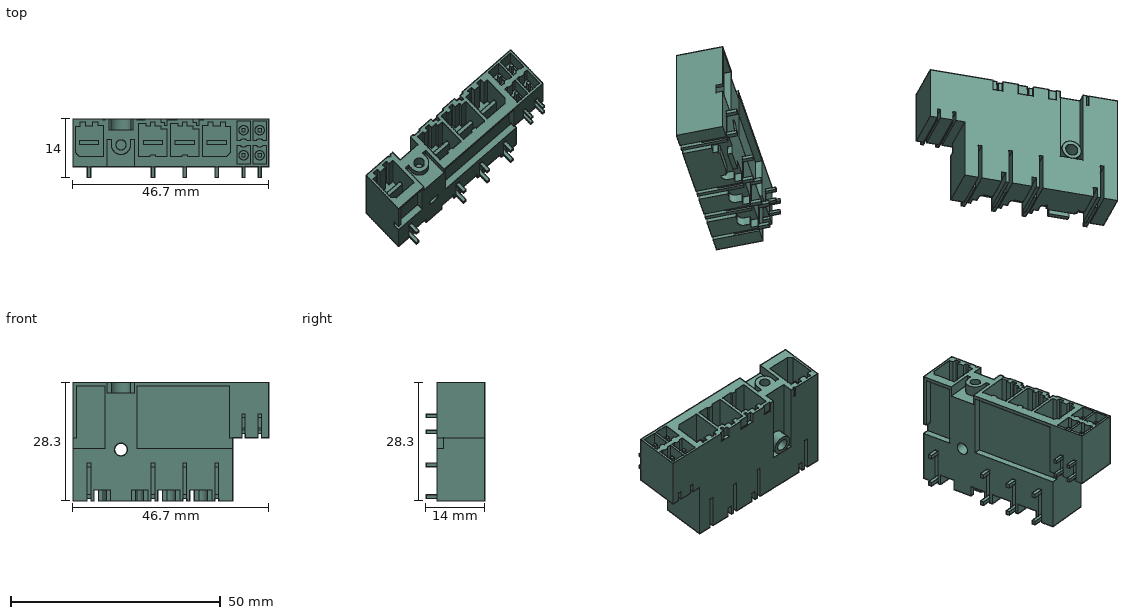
import cadquery as cq
import math


LENGTH = 46.7
DEPTH = 11.45
HEIGHT = 28.3
POWER_LENGTH = 38.1
SIGNAL_HEIGHT = 13.2
SIGNAL_BASE = HEIGHT - SIGNAL_HEIGHT

PITCH = 7.6
FIRST_POWER_X = 3.85
POWER_XS = [FIRST_POWER_X + step * PITCH for step in (0, 2, 3, 4)]
FASTENER_X = FIRST_POWER_X + PITCH
BLADE_WIDTH = 4.58
BLADE_THICKNESS = 0.9
BLADE_Y = 5.8
BLADE_TIP_DEPTH = 5.6
POWER_LEG_WIDTH = 0.9
POWER_LEG_HEIGHT = 1.0
POWER_LEG_TOP = 9.1
POWER_LEG_BOTTOM = 0.55
LEG_LENGTH = 2.55

SIGNAL_XS = (40.65, 44.5)
FRONT_ROW_Y = 2.75
REAR_ROW_Y = 8.75
SIGNAL_PIN = 0.75
SIGNAL_LEG_HEIGHT = 0.85
FRONT_LEG_RISE = 5.65
REAR_LEG_RISE = 1.8
FRONT_LEG_TOP = SIGNAL_BASE + FRONT_LEG_RISE
REAR_LEG_TOP = SIGNAL_BASE + REAR_LEG_RISE
REAR_SLOT_CLEARANCE = 0.55
REAR_SLOT_TOP = REAR_LEG_TOP + REAR_SLOT_CLEARANCE
SIGNAL_TIP_DEPTH = 1.2
COLLAR_RADIUS = 1.1
COLLAR_HEIGHT = 0.45

POWER_POCKET_DEPTH = 15.8
POWER_POCKET_FLOOR = HEIGHT - POWER_POCKET_DEPTH
POCKET_FRONT_Y = 2.45
POCKET_KEY_Y = 10.75
POCKET_LAND_Y = 9.75
POCKET_HALF = 3.4
END_POCKET_OUTER_HALF = 3.2
END_POCKET_OUTER_Y = 9.6
END_POCKET_INNER_Y = 9.9
END_POCKET_CHAMFER = 0.95
END_KEYWAY_NEAR = 0.85
END_KEYWAY_FAR = 2.1
MIDDLE_KEYWAY_HALF = 0.55
MIDDLE_LAND_START = 1.7
MIDDLE_LAND_END = 1.95
MIDDLE_SHORT_Y = 9.05
MIDDLE_LONG_Y = 10.3
MIDDLE_RIB_Y = 2.85
MIDDLE_RIB_HALF_BASE = 0.75
MIDDLE_RIB_HALF_TOP = 0.55
CELL_WIDTH = 3.25
FRONT_CELL_YS = (0.65, 5.1)
REAR_CELL_YS = (6.3, 10.9)
CELL_DEPTH = 7.0
RIB_HEIGHT = 0.37
RIB_HALF_WIDTH = 0.8

PANEL_DEPTH = 1.65
PANEL_RIM = 0.85
PANEL_BASE = POWER_POCKET_FLOOR
PILLAR_HALF = 3.8

BAY_HALF = 3.25
BAY_DEPTH_Y = 6.5
BAY_HEIGHT = 2.5
SCREW_BOSS_RADIUS = 2.3
SCREW_HOLE_RADIUS = 1.2
SCREW_HOLE_DEPTH = 4.65
SCREW_Y = 5.25
CROSS_HOLE_RADIUS = 1.5
CROSS_HOLE_Z = 12.3
TUBE_RADIUS = 2.4
REAR_BAY_HALF = 2.85
REAR_BAY_DEPTH = 2.6

KEY_HEIGHT = 2.6
SHALLOW_KEY = 0.35
MIDDLE_KEY = 0.85
DEEP_KEY = 1.55
MIDDLE_KEY_START = 1.9
DEEP_KEY_START = 2.8
SHALLOW_KEY_START = 3.35
SHALLOW_KEY_END = 5.7
LAST_KEY_MARGIN = 3.2
CHANNEL_FROM_CONTACT = 1.2
CHANNEL_WIDTH = 5.28
CHANNEL_GAP = 1.05
CHANNEL_LEDGE_Y = 1.65
CHANNEL_LEDGE = 1.07
CHANNEL_RADIUS = 1.4
CHANNEL_ARC_Y = 3.05
CHANNEL_ARC_ANGLE = 27.0
STRIP_HALF = 2.5
STRIP_THICKNESS = 1.1
STRIP_BACK_Y = 2.8
CLOSING_NEAR_HALF = 3.4
CLOSING_FAR_HALF = 3.85
CLOSING_FAR_Y = 3.17
CLOSING_STEPS = (
    (STRIP_HALF, 0.0, STRIP_THICKNESS),
    (CLOSING_NEAR_HALF, STRIP_BACK_Y, CLOSING_FAR_Y),
    (CLOSING_FAR_HALF, CLOSING_FAR_Y, DEPTH),
)


def box(x_range, y_range, z_range):
    """A block between the given limits."""
    (x0, x1), (y0, y1), (z0, z1) = x_range, y_range, z_range
    return cq.Workplane("XY").box(x1 - x0, y1 - y0, z1 - z0, centered=False).translate((x0, y0, z0))


def around(center, width):
    """Limits of a width centered on a place."""
    return (center - width / 2, center + width / 2)


def prism(points, z_range):
    """A vertical prism over a plan outline."""
    bottom, top = z_range
    return cq.Workplane("XY").workplane(offset=bottom).polyline(points).close().extrude(top - bottom)


def cross_cylinder(radius, y_range):
    """A cylinder along Y on the axis of the cross hole."""
    near, far = y_range
    disc = cq.Workplane("XZ").workplane(offset=-far).center(FASTENER_X, CROSS_HOLE_Z).circle(radius)
    return disc.extrude(far - near)


def housing_block():
    power_part = box((0, POWER_LENGTH), (0, DEPTH), (0, HEIGHT))
    signal_part = box((POWER_LENGTH, LENGTH), (0, DEPTH), (SIGNAL_BASE, HEIGHT))
    return power_part.union(signal_part)


def panel_recesses():
    """Two shallow recesses of the leg side, each running out sideways below the signal base level."""
    panel = (PANEL_BASE, HEIGHT - PANEL_RIM)
    outlet = (PANEL_BASE, SIGNAL_BASE)
    depth = (0, PANEL_DEPTH)
    left_end = FASTENER_X - PILLAR_HALF
    right_start = FASTENER_X + PILLAR_HALF
    left = box((PANEL_RIM, left_end), depth, panel).union(box((0, left_end), depth, outlet))
    right = box((right_start, POWER_LENGTH - PANEL_RIM), depth, panel)
    return left.union(right).union(box((right_start, POWER_LENGTH), depth, outlet))


def end_pocket(x, outward):
    """Pocket with two keyways and one chamfered corner; outward is the X direction of that corner."""
    outer = END_POCKET_OUTER_HALF
    outline = [
        (-POCKET_HALF, POCKET_FRONT_Y),
        (outer - END_POCKET_CHAMFER, POCKET_FRONT_Y),
        (outer, POCKET_FRONT_Y + END_POCKET_CHAMFER),
        (outer, END_POCKET_OUTER_Y),
        (END_KEYWAY_FAR, END_POCKET_OUTER_Y),
        (END_KEYWAY_FAR, POCKET_KEY_Y),
        (END_KEYWAY_NEAR, POCKET_KEY_Y),
        (END_KEYWAY_NEAR, POCKET_LAND_Y),
        (-END_KEYWAY_NEAR, POCKET_LAND_Y),
        (-END_KEYWAY_NEAR, POCKET_KEY_Y),
        (-END_KEYWAY_FAR, POCKET_KEY_Y),
        (-END_KEYWAY_FAR, END_POCKET_INNER_Y),
        (-POCKET_HALF, END_POCKET_INNER_Y),
    ]
    points = [(x + outward * dx, y) for dx, y in outline]
    return prism(points, (POWER_POCKET_FLOOR, HEIGHT))


def middle_pocket(x):
    """Pocket with one keyway, stepped corners and a small rib on the leg side."""
    outline = [
        (-POCKET_HALF, POCKET_FRONT_Y),
        (-MIDDLE_RIB_HALF_BASE, POCKET_FRONT_Y),
        (-MIDDLE_RIB_HALF_TOP, MIDDLE_RIB_Y),
        (MIDDLE_RIB_HALF_TOP, MIDDLE_RIB_Y),
        (MIDDLE_RIB_HALF_BASE, POCKET_FRONT_Y),
        (POCKET_HALF, POCKET_FRONT_Y),
        (POCKET_HALF, MIDDLE_SHORT_Y),
        (MIDDLE_LAND_END, MIDDLE_SHORT_Y),
        (MIDDLE_LAND_END, POCKET_LAND_Y),
        (MIDDLE_KEYWAY_HALF, POCKET_LAND_Y),
        (MIDDLE_KEYWAY_HALF, POCKET_KEY_Y),
        (-MIDDLE_KEYWAY_HALF, POCKET_KEY_Y),
        (-MIDDLE_KEYWAY_HALF, POCKET_LAND_Y),
        (-MIDDLE_LAND_START, POCKET_LAND_Y),
        (-MIDDLE_LAND_START, MIDDLE_LONG_Y),
        (-POCKET_HALF, MIDDLE_LONG_Y),
    ]
    points = [(x + dx, y) for dx, y in outline]
    return prism(points, (POWER_POCKET_FLOOR, HEIGHT))


def signal_cell(x, pin_y, y_range, wall_y, inward):
    """Pocket of one signal pin, with a rounded rib on its inner wall and a collar around the pin."""
    floor = HEIGHT - CELL_DEPTH
    rib_y = wall_y + inward * RIB_HEIGHT
    rib = cq.Workplane("XY").workplane(offset=floor).moveTo(x - RIB_HALF_WIDTH, wall_y)
    rib = rib.threePointArc((x, rib_y), (x + RIB_HALF_WIDTH, wall_y)).close().extrude(CELL_DEPTH)
    collar = cq.Workplane("XY").workplane(offset=floor).center(x, pin_y)
    collar = collar.circle(COLLAR_RADIUS).extrude(COLLAR_HEIGHT)
    return box(around(x, CELL_WIDTH), y_range, (floor, HEIGHT)).cut(rib).cut(collar)


def signal_slots(x):
    """Slots that let the legs of both rows in from below."""
    width = around(x, SIGNAL_PIN)
    front = box(width, (0, FRONT_ROW_Y + SIGNAL_PIN / 2), (SIGNAL_BASE, FRONT_LEG_TOP))
    return front.union(box(width, (0, DEPTH), (SIGNAL_BASE, REAR_SLOT_TOP)))


def screw_bay():
    """Open bay at the top that leaves a rounded screw boss standing on its inner wall."""
    floor = HEIGHT - BAY_HEIGHT
    bay = box(around(FASTENER_X, 2 * BAY_HALF), (0, BAY_DEPTH_Y), (floor, HEIGHT))
    boss = cq.Workplane("XY").workplane(offset=floor).center(FASTENER_X, SCREW_Y)
    boss = boss.circle(SCREW_BOSS_RADIUS).extrude(BAY_HEIGHT)
    neck = box(around(FASTENER_X, 2 * SCREW_BOSS_RADIUS), (SCREW_Y, BAY_DEPTH_Y), (floor, HEIGHT))
    return bay.cut(boss).cut(neck)


def screw_hole():
    hole = cq.Workplane("XY").workplane(offset=HEIGHT - SCREW_HOLE_DEPTH).center(FASTENER_X, SCREW_Y)
    return hole.circle(SCREW_HOLE_RADIUS).extrude(SCREW_HOLE_DEPTH)


def rear_bay():
    """Bay of the keyed side that leaves a tube standing around the cross hole."""
    depth = (DEPTH - REAR_BAY_DEPTH, DEPTH)
    bay = box(around(FASTENER_X, 2 * REAR_BAY_HALF), depth, (CROSS_HOLE_Z - TUBE_RADIUS, HEIGHT))
    return bay.cut(cross_cylinder(TUBE_RADIUS, depth))


def key_grooves():
    """Grooves along the top edge of the keyed side."""
    first, second, third, last = POWER_XS
    pillar = (FASTENER_X - PILLAR_HALF, FASTENER_X + PILLAR_HALF)
    height = (HEIGHT - KEY_HEIGHT, HEIGHT)
    shallow_spans = (
        (first + SHALLOW_KEY_START, pillar[0]),
        (pillar[1], FASTENER_X + SHALLOW_KEY_END),
        (second + SHALLOW_KEY_START, second + SHALLOW_KEY_END),
        (third + SHALLOW_KEY_START, last - LAST_KEY_MARGIN),
    )
    shallow = (DEPTH - SHALLOW_KEY, DEPTH)
    grooves = [box(span, shallow, height) for span in shallow_spans]
    for x in (second, third):
        end = x + SHALLOW_KEY_START
        grooves.append(box((x + MIDDLE_KEY_START, end), (DEPTH - MIDDLE_KEY, DEPTH), height))
        grooves.append(box((x + DEEP_KEY_START, end), (DEPTH - DEEP_KEY, DEPTH), height))
    return grooves


def key_channel(start):
    """Channel in the bottom: wide at the leg side, rounded inside, narrow towards the keyed side."""
    right = start + CHANNEL_WIDTH
    inner = right - CHANNEL_LEDGE
    gap = start + CHANNEL_GAP
    arc_x = inner - CHANNEL_RADIUS
    run = math.radians(CHANNEL_ARC_ANGLE)
    arc_mid = (math.pi / 2 + run) / 2
    arc_end = (arc_x - CHANNEL_RADIUS * math.sin(run), CHANNEL_ARC_Y + CHANNEL_RADIUS * math.cos(run))
    arc_middle = (
        arc_x + CHANNEL_RADIUS * math.cos(arc_mid),
        CHANNEL_ARC_Y + CHANNEL_RADIUS * math.sin(arc_mid),
    )
    return (
        cq.Workplane("XY")
        .moveTo(start, 0)
        .lineTo(right, 0)
        .lineTo(right, CHANNEL_LEDGE_Y)
        .lineTo(inner, CHANNEL_LEDGE_Y)
        .lineTo(inner, CHANNEL_ARC_Y)
        .threePointArc(arc_middle, arc_end)
        .lineTo(gap, arc_end[1])
        .lineTo(gap, DEPTH)
        .lineTo(start, DEPTH)
        .close()
        .extrude(KEY_HEIGHT)
    )


def key_channels():
    """One channel beside every place of the row but the last, joined behind a strip of wall."""
    channels = [key_channel(x + CHANNEL_FROM_CONTACT) for x in (POWER_XS[0], FASTENER_X, *POWER_XS[1:3])]
    for half_width, near, far in CLOSING_STEPS:
        step = box(around(FASTENER_X, 2 * half_width), (near, far), (0, KEY_HEIGHT))
        channels = [channel.cut(step) for channel in channels]
    strip_width = around(FASTENER_X, 2 * STRIP_HALF)
    channels.append(box(strip_width, (STRIP_THICKNESS, STRIP_BACK_Y), (0, KEY_HEIGHT)))
    return channels


def power_slot(x):
    """Slot through the bottom for the legs of one power contact."""
    return box(around(x, POWER_LEG_WIDTH), (0, DEPTH), (0, POWER_LEG_TOP))


def power_contact(x):
    """Wide blade on a narrow spine with two legs."""
    thickness = around(BLADE_Y, BLADE_THICKNESS)
    width = around(x, POWER_LEG_WIDTH)
    contact = box(around(x, BLADE_WIDTH), thickness, (POWER_LEG_TOP, HEIGHT - BLADE_TIP_DEPTH))
    contact = contact.union(box(width, thickness, (POWER_LEG_BOTTOM, POWER_LEG_TOP)))
    for base in (POWER_LEG_BOTTOM, POWER_LEG_TOP - POWER_LEG_HEIGHT):
        contact = contact.union(box(width, (-LEG_LENGTH, BLADE_Y), (base, base + POWER_LEG_HEIGHT)))
    return contact


def signal_pin(x, y, leg_top):
    """Square pin bent into an L."""
    width = around(x, SIGNAL_PIN)
    leg = (leg_top - SIGNAL_LEG_HEIGHT, leg_top)
    upright = box(width, around(y, SIGNAL_PIN), (leg[0], HEIGHT - SIGNAL_TIP_DEPTH))
    return upright.union(box(width, (-LEG_LENGTH, y), leg))


power_contacts = [power_contact(x) for x in POWER_XS]
signal_pins = []
for pin_x in SIGNAL_XS:
    signal_pins.append(signal_pin(pin_x, FRONT_ROW_Y, FRONT_LEG_TOP))
    signal_pins.append(signal_pin(pin_x, REAR_ROW_Y, REAR_LEG_TOP))

cuts = [panel_recesses(), screw_bay(), screw_hole(), rear_bay()]
cuts.append(cross_cylinder(CROSS_HOLE_RADIUS, (0, DEPTH)))
cuts += key_grooves() + key_channels()
cuts += [end_pocket(POWER_XS[0], -1), end_pocket(POWER_XS[-1], 1)]
cuts += [middle_pocket(x) for x in POWER_XS[1:-1]]
cuts += [power_slot(x) for x in POWER_XS]
for cell_x in SIGNAL_XS:
    cuts.append(signal_cell(cell_x, FRONT_ROW_Y, FRONT_CELL_YS, FRONT_CELL_YS[1], -1))
    cuts.append(signal_cell(cell_x, REAR_ROW_Y, REAR_CELL_YS, REAR_CELL_YS[0], 1))
    cuts.append(signal_slots(cell_x))

housing = housing_block()
for tool in cuts + power_contacts + signal_pins:
    housing = housing.cut(tool)

contact_solids = [contact.solids().val() for contact in power_contacts + signal_pins]
result = cq.Compound.makeCompound([housing.solids().val(), *contact_solids])